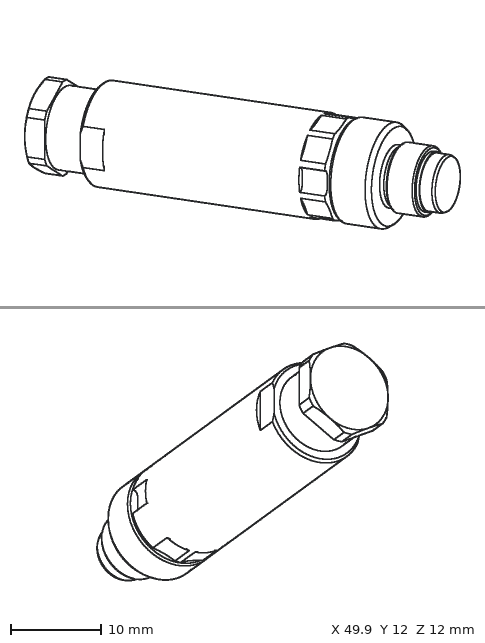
import cadquery as cq
import math

length = 49.9
body_radius = 6.0

cap_length = 2.5
cap_across_flats = 10.0
cap_corner_radius = 5.5
cap_face_radius = 5.0
cap_chamfer_angle = 30.0
cap_neck_radius = 4.75

body_start = 7.15
body_end = 34.45
body_chamfer_length = 0.35
body_chamfer_depth = 0.3
flat_end = 10.15
flat_distance = 5.5

grip_end = 37.5
grip_positions = 10
scalloped_positions = (1, 2, 3, 7, 8, 9)
grip_land_angle = 7.2
scallop_radius = 10.0
key_positions = (0, 5)
key_width = 2.9
key_fillet_radius = 0.6
key_floor_distance = 5.2

collar_start = 38.05
collar_end = 43.2
collar_rear_chamfer = 0.3
collar_rear_chamfer_depth = 0.2
collar_front_chamfer = 0.6
collar_front_chamfer_depth = 0.4
collar_neck_radius = 3.75
plug_neck_radius = 3.42
neck_flare = 0.15
plug_neck_flare_length = 0.45
plug_start = 44.35
plug_end = 47.65
plug_radius = 4.0
plug_rear_chamfer = 0.2
plug_front_chamfer = 0.2
plug_shoulder_end = 48.05
tip_radius = 3.3
tip_chamfer_length = 0.35
tip_chamfer_depth = 0.15


def cylinder(start, end, radius):
    return cq.Workplane("YZ").workplane(offset=start).circle(radius).extrude(end - start)


def revolve_profile(points):
    """Revolve (x, radius) points about the X axis."""
    return cq.Workplane("XY").polyline(points).close().revolve(360, (0, 0, 0), (1, 0, 0))


def make_cap():
    corner_diameter = cap_across_flats / math.cos(math.pi / 6)
    hexagon = cq.Workplane("YZ").polygon(6, corner_diameter).extrude(cap_length)
    hexagon = hexagon.rotate((0, 0, 0), (1, 0, 0), 30)
    chamfer_length = (cap_corner_radius - cap_face_radius) * math.tan(math.radians(cap_chamfer_angle))
    envelope = revolve_profile([
        (0, 0),
        (0, cap_face_radius),
        (chamfer_length, cap_corner_radius),
        (cap_length, cap_corner_radius),
        (cap_length, 0),
    ])
    return hexagon.intersect(envelope)


def make_body():
    body = revolve_profile([
        (body_start, 0),
        (body_start, body_radius - body_chamfer_depth),
        (body_start + body_chamfer_length, body_radius),
        (body_end, body_radius),
        (body_end, 0),
    ])
    flat_length = flat_end - body_start
    flat_depth = body_radius - flat_distance
    for side in (-1, 1):
        flat = cq.Workplane("XY").box(flat_length, flat_depth, 2 * body_radius)
        body = body.cut(flat.translate((
            body_start + flat_length / 2,
            side * (flat_distance + flat_depth / 2),
            0,
        )))
    return body


def make_grip():
    grip = cylinder(body_end, grip_end, body_radius)
    grip_length = grip_end - body_end
    pitch = 360 / grip_positions

    half_scallop = math.radians((pitch - grip_land_angle) / 2)
    chord_half_width = body_radius * math.sin(half_scallop)
    chord_distance = body_radius * math.cos(half_scallop)
    scallop_distance = chord_distance + math.sqrt(scallop_radius**2 - chord_half_width**2)
    scallop = cylinder(body_end, grip_end, scallop_radius).translate((0, -scallop_distance, 0))
    for position in scalloped_positions:
        grip = grip.cut(scallop.rotate((0, 0, 0), (1, 0, 0), position * pitch))

    key_depth = body_radius - key_floor_distance
    keyway = (
        cq.Workplane("XY")
        .box(grip_length, key_depth, key_width)
        .faces(">Y").edges("|X").fillet(key_fillet_radius)
        .translate(((body_end + grip_end) / 2, -(key_floor_distance + key_depth / 2), 0))
    )
    for position in key_positions:
        grip = grip.cut(keyway.rotate((0, 0, 0), (1, 0, 0), position * pitch))
    return grip


def make_plug_end():
    return revolve_profile([
        (grip_end, 0),
        (grip_end, collar_neck_radius + neck_flare),
        (grip_end + neck_flare, collar_neck_radius),
        (collar_start, collar_neck_radius),
        (collar_start, body_radius - collar_rear_chamfer_depth),
        (collar_start + collar_rear_chamfer, body_radius),
        (collar_end - collar_front_chamfer, body_radius),
        (collar_end, body_radius - collar_front_chamfer_depth),
        (collar_end, plug_neck_radius + neck_flare),
        (collar_end + plug_neck_flare_length, plug_neck_radius),
        (plug_start - plug_rear_chamfer, plug_neck_radius),
        (plug_start - plug_rear_chamfer, plug_radius - plug_rear_chamfer),
        (plug_start, plug_radius),
        (plug_end - plug_front_chamfer, plug_radius),
        (plug_end, plug_radius - plug_front_chamfer),
        (plug_end, plug_neck_radius),
        (plug_shoulder_end, plug_neck_radius),
        (plug_shoulder_end, tip_radius),
        (length - tip_chamfer_length, tip_radius),
        (length, tip_radius - tip_chamfer_depth),
        (length, 0),
    ])


result = (
    make_cap()
    .union(cylinder(cap_length, body_start, cap_neck_radius))
    .union(make_body())
    .union(make_grip())
    .union(make_plug_end())
)